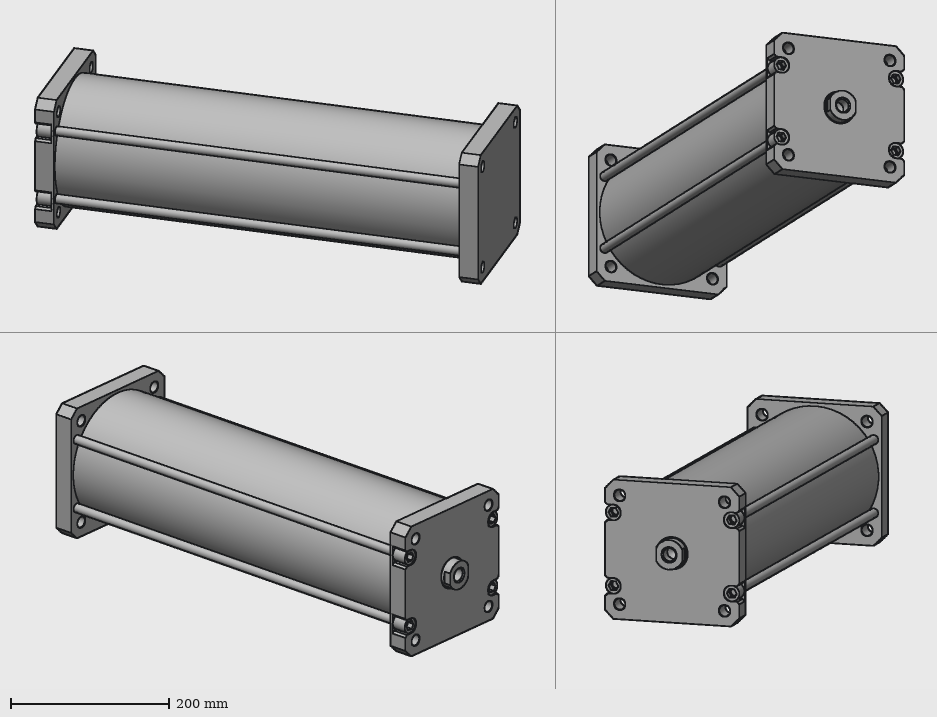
import cadquery as cq
import math

total_length = 599.0
plate_side = 180.0
plate_thickness = 25.0
plate_corner_chamfer = 11.5
rod_protrusion = 12.0
barrel_radius = 85.5

mount_hole_offset = 70.0
mount_hole_radius = 7.0
mount_hole_chamfer = 0.5

piston_rod_radius = 19.0
rod_flat_half_width = 17.5
rod_flat_length = 9.0
rod_bore_chamfer = 2.0
rod_hole_radius = 8.5
rod_hole_chamfer = 2.0
rod_hole_depth = 18.0
rod_hole_tip_depth = 5.0

tie_rod_y = 79.0
tie_rod_z = 47.5
tie_rod_radius = 6.0
head_radius = 10.0
head_recess = 2.0
pocket_depth = 21.5
pocket_flare = 3.0
socket_across_flats = 11.5
socket_depth = 9.0
socket_pilot_radius = 5.0
socket_pilot_depth = 2.0

half_side = plate_side / 2
front_face = rod_protrusion
barrel_start = front_face + plate_thickness
barrel_end = total_length - plate_thickness
pocket_floor = front_face + pocket_depth
head_face = front_face + head_recess


def four_corners(y, z):
    """The (Y, Z) positions at plus and minus y and z."""
    return [(side * y, level * z) for side in (-1, 1) for level in (-1, 1)]


mount_hole_positions = four_corners(mount_hole_offset, mount_hole_offset)
tie_rod_positions = four_corners(tie_rod_y, tie_rod_z)


def yz_plane(x):
    """Plane across the axis at x, with local axes along Y and Z."""
    return cq.Workplane("YZ", origin=(x, 0, 0))


def cylinder(x_start, x_end, radius, y=0, z=0):
    return yz_plane(x_start).center(y, z).circle(radius).extrude(x_end - x_start)


def cone(x_start, x_end, radius_start, radius_end, y=0, z=0):
    """Cone along +X whose radius shrinks from radius_start to radius_end."""
    return cq.Workplane(
        cq.Solid.makeCone(radius_start, radius_end, x_end - x_start, cq.Vector(x_start, y, z), cq.Vector(1, 0, 0))
    )


def make_end_plate(x_start):
    """Square plate with cut corners and four mounting holes chamfered on the -X face."""
    plate = yz_plane(x_start).rect(plate_side, plate_side).extrude(plate_thickness)
    plate = plate.edges("|X").chamfer(plate_corner_chamfer)
    mouth_radius = mount_hole_radius + mount_hole_chamfer
    for y, z in mount_hole_positions:
        plate = plate.cut(cylinder(x_start, x_start + plate_thickness, mount_hole_radius, y, z))
        plate = plate.cut(cone(x_start, x_start + mount_hole_chamfer, mouth_radius, mount_hole_radius, y, z))
    return plate


def make_head_pocket(y, z):
    """Round-ended pocket, open to the nearest side of the plate, with a flared mouth."""
    side = 1 if y > 0 else -1
    mouth = side * half_side
    throat = mouth - side * pocket_flare
    mouth_half_height = head_radius + pocket_flare
    return (
        yz_plane(front_face)
        .moveTo(y, z + head_radius)
        .lineTo(throat, z + head_radius)
        .lineTo(mouth, z + mouth_half_height)
        .lineTo(mouth, z - mouth_half_height)
        .lineTo(throat, z - head_radius)
        .lineTo(y, z - head_radius)
        .threePointArc((y - side * head_radius, z), (y, z + head_radius))
        .close()
        .extrude(pocket_depth)
    )


def make_front_plate():
    """End plate with a chamfered piston rod bore, head pockets and tie rod holes."""
    plate = make_end_plate(front_face)
    plate = plate.cut(cylinder(front_face, barrel_start, piston_rod_radius))
    bore_mouth_radius = piston_rod_radius + rod_bore_chamfer
    plate = plate.cut(cone(front_face, front_face + rod_bore_chamfer, bore_mouth_radius, piston_rod_radius))
    for y, z in tie_rod_positions:
        plate = plate.cut(make_head_pocket(y, z))
        plate = plate.cut(cylinder(pocket_floor, barrel_start, tie_rod_radius, y, z))
    return plate


def make_piston_rod():
    """Rod end with two wrench flats and a chamfered, drill-pointed hole."""
    rod = cylinder(0, barrel_start, piston_rod_radius)
    flat_depth = piston_rod_radius - rod_flat_half_width
    for side in (-1, 1):
        flat_centre = side * (rod_flat_half_width + flat_depth / 2)
        flat = yz_plane(0).center(flat_centre, 0).rect(flat_depth, 2 * piston_rod_radius).extrude(rod_flat_length)
        rod = rod.cut(flat)
    rod = rod.cut(cylinder(0, rod_hole_depth, rod_hole_radius))
    rod = rod.cut(cone(0, rod_hole_chamfer, rod_hole_radius + rod_hole_chamfer, rod_hole_radius))
    return rod.cut(cone(rod_hole_depth, rod_hole_depth + rod_hole_tip_depth, rod_hole_radius, 0))


def make_tie_rod(y, z):
    """Long rod with a cylindrical head that has a hexagonal socket and a round pilot in its floor."""
    head = cylinder(head_face, pocket_floor, head_radius, y, z)
    tie_rod = head.union(cylinder(pocket_floor, barrel_end, tie_rod_radius, y, z))
    socket_across_corners = socket_across_flats / math.cos(math.pi / 6)
    socket = yz_plane(head_face).center(y, z).polygon(6, socket_across_corners).extrude(socket_depth)
    socket_floor = head_face + socket_depth
    pilot = cylinder(socket_floor, socket_floor + socket_pilot_depth, socket_pilot_radius, y, z)
    return tie_rod.cut(socket).cut(pilot)


front_plate = make_front_plate()
rear_plate = make_end_plate(barrel_end)
barrel = cylinder(barrel_start, barrel_end, barrel_radius)
piston_rod = make_piston_rod()
tie_rods = [make_tie_rod(y, z) for y, z in tie_rod_positions]

result = cq.Compound.makeCompound(
    [
        front_plate.val(),
        rear_plate.val(),
        barrel.val(),
        piston_rod.val(),
        *[tie_rod.val() for tie_rod in tie_rods],
    ]
)